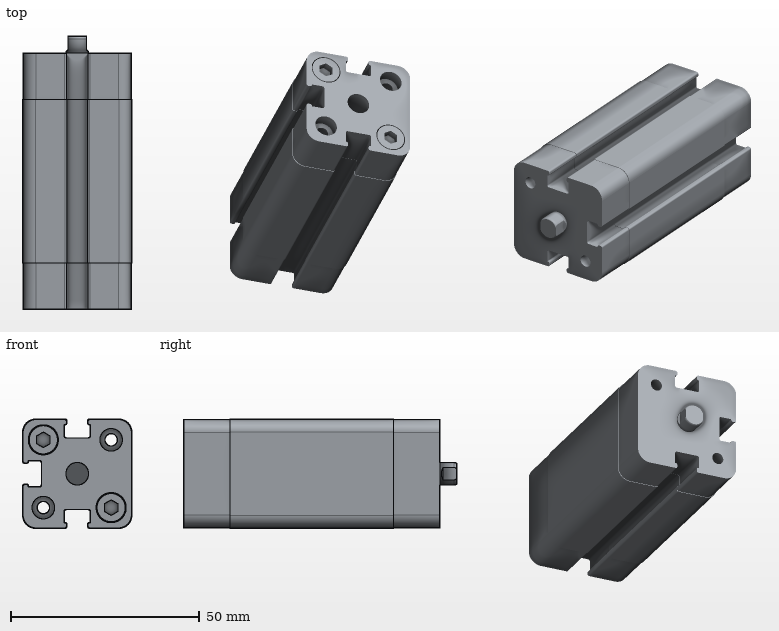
import cadquery as cq
import math

body_length = 68.0
cap_length = 12.25
tube_length = body_length - 2 * cap_length
rod_length = 4.5

tube_width = 29.05
cap_width = 28.8
corner_radius = 3.5

cap_slot_floor = 9.5
tube_slot_floor = 9.55
lip_underside = 12.95
lip_round = 0.5
floor_round = 0.5
tube_mouth_half = 2.75
tube_slot_half = 3.4
cap_mouth_half = 2.85
cap_slot_half = 3.5
slot_angles = (0, 90, 180)

hole_offset = 9.0
mount_hole_diameter = 3.24
counterbore_diameter = 6.0
counterbore_depth = 3.5
port_diameter = 6.0
port_depth = 8.0
screw_bore_diameter = 8.0
screw_head_diameter = 7.5
screw_gap_depth = 4.0
hex_corner_diameter = 4.13
hex_depth = 2.2
hex_turn = 30.0

rod_diameter = 6.0
rod_flats_width = 5.0
rod_collar_length = 0.4
rod_tip_length = 0.7
rod_tip_round = 1.0


def front_plane(y):
    """Plane at position y along the part, local x = +X, local y = +Z, normal = -Y."""
    return cq.Workplane("XZ", origin=(0, y, 0))


def slot_cutter(mouth_half, slot_half, slot_floor, outer, length, y):
    """Undercut slot opening toward +Z, with rounded lips and floor corners."""
    mouth_top = outer + lip_round
    right_side = (
        front_plane(y)
        .moveTo(0, slot_floor)
        .lineTo(slot_half - floor_round, slot_floor)
        .radiusArc((slot_half, slot_floor + floor_round), -floor_round)
        .lineTo(slot_half, lip_underside)
        .lineTo(mouth_half + lip_round, lip_underside)
        .radiusArc((mouth_half, lip_underside + lip_round), lip_round)
        .lineTo(mouth_half, outer - lip_round)
        .radiusArc((mouth_half + lip_round, outer), lip_round)
        .lineTo(mouth_half + lip_round, mouth_top)
        .lineTo(0, mouth_top)
        .close()
        .extrude(-length)
    )
    return right_side.union(right_side.mirror("YZ"))


def body_section(width, mouth_half, slot_half, slot_floor, y, length):
    """One slotted square length of the body, starting at y."""
    section = front_plane(y).rect(width, width).extrude(-length).edges("|Y").fillet(corner_radius)
    slot = slot_cutter(mouth_half, slot_half, slot_floor, width / 2, length, y)
    for angle in slot_angles:
        section = section.cut(slot.rotate((0, 0, 0), (0, -1, 0), angle))
    return section


def end_cap(y):
    return body_section(cap_width, cap_mouth_half, cap_slot_half, cap_slot_floor, y, cap_length)


def piston_rod():
    """Rod stub with a rounded tip and flats that run out at 45 degrees above a round collar."""
    tip_y = body_length + rod_length
    tip_inset = rod_tip_round - math.sqrt(rod_tip_round**2 - rod_tip_length**2)
    rod_radius = rod_diameter / 2
    flat_half = rod_flats_width / 2
    collar_y = body_length + rod_collar_length
    flat_start_y = collar_y + rod_radius - flat_half
    rod = (
        cq.Workplane("XY")
        .moveTo(0, body_length)
        .lineTo(rod_radius, body_length)
        .lineTo(rod_radius, tip_y - rod_tip_length)
        .radiusArc((rod_radius - tip_inset, tip_y), -rod_tip_round)
        .lineTo(0, tip_y)
        .close()
        .revolve(360, (0, 0, 0), (0, 1, 0))
    )
    flats_profile = (
        cq.Workplane("XY")
        .polyline([
            (-rod_radius, body_length),
            (rod_radius, body_length),
            (rod_radius, collar_y),
            (flat_half, flat_start_y),
            (flat_half, tip_y),
            (-flat_half, tip_y),
            (-flat_half, flat_start_y),
            (-rod_radius, collar_y),
        ])
        .close()
        .extrude(rod_radius, both=True)
    )
    return rod.intersect(flats_profile)


def cut_mount_holes(body):
    """Counterbored holes through the whole body at two opposite corners."""
    points = [(hole_offset, hole_offset), (-hole_offset, -hole_offset)]
    holes = front_plane(0).pushPoints(points).circle(mount_hole_diameter / 2).extrude(-body_length)
    bores = front_plane(0).pushPoints(points).circle(counterbore_diameter / 2).extrude(-counterbore_depth)
    return body.cut(holes).cut(bores)


def cut_screws(body):
    """Socket screw heads at the other two corners: a clearance ring and a hexagon socket."""
    points = [(-hole_offset, hole_offset), (hole_offset, -hole_offset)]
    gaps = (
        front_plane(0)
        .pushPoints(points)
        .circle(screw_bore_diameter / 2)
        .circle(screw_head_diameter / 2)
        .extrude(-screw_gap_depth)
    )
    body = body.cut(gaps)
    for x, z in points:
        socket = front_plane(0).polygon(6, hex_corner_diameter).extrude(-hex_depth)
        upright_socket = socket.rotate((0, 0, 0), (0, 1, 0), hex_turn)
        body = body.cut(upright_socket.translate((x, 0, z)))
    return body


def cut_center_port(body):
    return body.cut(front_plane(0).circle(port_diameter / 2).extrude(-port_depth))


tube = body_section(tube_width, tube_mouth_half, tube_slot_half, tube_slot_floor, cap_length, tube_length)
result = end_cap(0).union(tube).union(end_cap(body_length - cap_length))
result = cut_mount_holes(result)
result = cut_screws(result)
result = cut_center_port(result)
result = result.union(piston_rod())